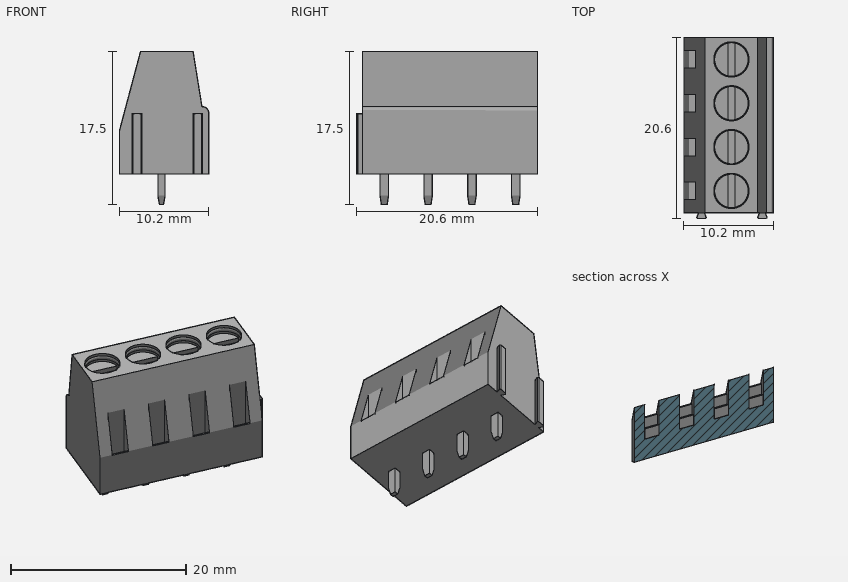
import cadquery as cq


POLE_COUNT = 4
PITCH = 5.0

OVERALL_LENGTH = 20.65
RAIL_PROJECTION = 0.65
LENGTH = OVERALL_LENGTH - RAIL_PROJECTION
WIDTH = 10.2
HEIGHT = 14.0
TOP_FRONT_X = 2.4
TOP_BACK_X = 8.4
ENTRY_SLOPE_Z = 5.0
SHELF_Z = 7.7
SHELF_RADIUS = 0.78

RECESS_X = 5.4
RECESS_DIAMETER = 4.03
RING_DIAMETER = 3.82
RECESS_DEPTH = 1.1
RING_TOP_DEPTH = 0.3
RING_HEIGHT = 0.5
DRIVER_SLOT_WIDTH = 0.76
DRIVER_SLOT_DEPTH = 1.0

ENTRY_WIDTH = 2.0
ENTRY_BACK_X = 1.32
ENTRY_LIP = 0.2
ENTRY_STEP_X = 0.47
ENTRY_STEP_DEPTH = 1.24
ENTRY_PIT_DEPTH = 2.48

RAIL_CENTERS_X = (2.0, 8.95)
RAIL_HEIGHT = 6.9
RAIL_ROOT_WIDTH = 0.7
RAIL_MAX_WIDTH = 1.1
RAIL_TIP_WIDTH = 0.87
RAIL_TIP_LENGTH = 0.12

PIN_X = 4.8
PIN_THICKNESS = 0.85
PIN_WIDTH = 1.0
PIN_LENGTH = 3.5
PIN_TIP_LENGTH = 1.0
PIN_TIP_THICKNESS = 0.47
PIN_TIP_WIDTH = 0.68

first_pole_y = (LENGTH - (POLE_COUNT - 1) * PITCH) / 2
pole_positions = [first_pole_y + i * PITCH for i in range(POLE_COUNT)]


def extrude_along_y(outline, start_y, length):
    """Extrude an outline drawn in X and Z towards +Y."""
    return outline.extrude(-length).translate((0, start_y, 0))


def make_housing_blank():
    outline = (
        cq.Workplane("XZ")
        .lineTo(WIDTH, 0)
        .lineTo(WIDTH, SHELF_Z - SHELF_RADIUS)
        .radiusArc((WIDTH - SHELF_RADIUS, SHELF_Z), -SHELF_RADIUS)
        .lineTo(TOP_BACK_X, HEIGHT)
        .lineTo(TOP_FRONT_X, HEIGHT)
        .lineTo(0, ENTRY_SLOPE_Z)
        .close()
    )
    return extrude_along_y(outline, 0, LENGTH)


def make_rail(center_x):
    """Dovetail rail that widens outwards and has a bevelled tip."""
    shoulder_y = RAIL_TIP_LENGTH - RAIL_PROJECTION
    return (
        cq.Workplane("XY")
        .moveTo(-RAIL_ROOT_WIDTH / 2, 0)
        .lineTo(-RAIL_MAX_WIDTH / 2, shoulder_y)
        .lineTo(-RAIL_TIP_WIDTH / 2, -RAIL_PROJECTION)
        .lineTo(RAIL_TIP_WIDTH / 2, -RAIL_PROJECTION)
        .lineTo(RAIL_MAX_WIDTH / 2, shoulder_y)
        .lineTo(RAIL_ROOT_WIDTH / 2, 0)
        .close()
        .extrude(RAIL_HEIGHT)
        .translate((center_x, 0, 0))
    )


def make_recess_cutter(center_y):
    """Screw recess whose wall bulges inwards at the ring, plus the driver slot across its floor."""
    radius = RECESS_DIAMETER / 2
    ring_top_z = -RING_TOP_DEPTH
    ring_bottom_z = ring_top_z - RING_HEIGHT
    ring_middle_z = (ring_top_z + ring_bottom_z) / 2
    bore = (
        cq.Workplane("XZ")
        .lineTo(radius, 0)
        .lineTo(radius, ring_top_z)
        .threePointArc((RING_DIAMETER / 2, ring_middle_z), (radius, ring_bottom_z))
        .lineTo(radius, -RECESS_DEPTH)
        .lineTo(0, -RECESS_DEPTH)
        .close()
        .revolve(360, (0, 0, 0), (0, 1, 0))
    )
    slot_round = cq.Workplane("XY", origin=(0, 0, -RECESS_DEPTH)).circle(radius).extrude(-DRIVER_SLOT_DEPTH)
    slot_band = cq.Workplane("XY").box(DRIVER_SLOT_WIDTH, RECESS_DIAMETER, HEIGHT)
    cutter = bore.union(slot_round.intersect(slot_band))
    return cutter.translate((RECESS_X, center_y, HEIGHT))


def make_entry_cutter(center_y):
    """Wire entry: open through the sloped face, with a lip, a step and a pit in its floor."""
    step_z = ENTRY_SLOPE_Z - ENTRY_STEP_DEPTH
    pit_z = ENTRY_SLOPE_Z - ENTRY_PIT_DEPTH
    outline = (
        cq.Workplane("XZ")
        .moveTo(0, ENTRY_SLOPE_Z)
        .lineTo(ENTRY_LIP, ENTRY_SLOPE_Z)
        .lineTo(ENTRY_LIP, step_z)
        .lineTo(ENTRY_STEP_X, step_z)
        .lineTo(ENTRY_STEP_X, pit_z)
        .lineTo(ENTRY_BACK_X, pit_z)
        .lineTo(ENTRY_BACK_X, HEIGHT)
        .lineTo(0, HEIGHT)
        .close()
    )
    return extrude_along_y(outline, center_y - ENTRY_WIDTH / 2, ENTRY_WIDTH)


def make_housing():
    body = make_housing_blank()
    for center_x in RAIL_CENTERS_X:
        body = body.union(make_rail(center_x))
    for center_y in pole_positions:
        body = body.cut(make_recess_cutter(center_y))
        body = body.cut(make_entry_cutter(center_y))
    return body


def make_pin(center_y):
    """Rectangular solder pin under the housing, with a tapered tip."""
    shank_length = PIN_LENGTH - PIN_TIP_LENGTH
    shank = cq.Workplane("XY").rect(PIN_THICKNESS, PIN_WIDTH).extrude(-shank_length)
    tip = (
        cq.Workplane("XY", origin=(0, 0, -shank_length))
        .rect(PIN_THICKNESS, PIN_WIDTH)
        .workplane(offset=-PIN_TIP_LENGTH)
        .rect(PIN_TIP_THICKNESS, PIN_TIP_WIDTH)
        .loft(ruled=True)
    )
    return shank.union(tip).translate((PIN_X, center_y, 0))


housing = make_housing()
pins = [make_pin(center_y) for center_y in pole_positions]

result = cq.Compound.makeCompound([housing.val(), *(pin.val() for pin in pins)])